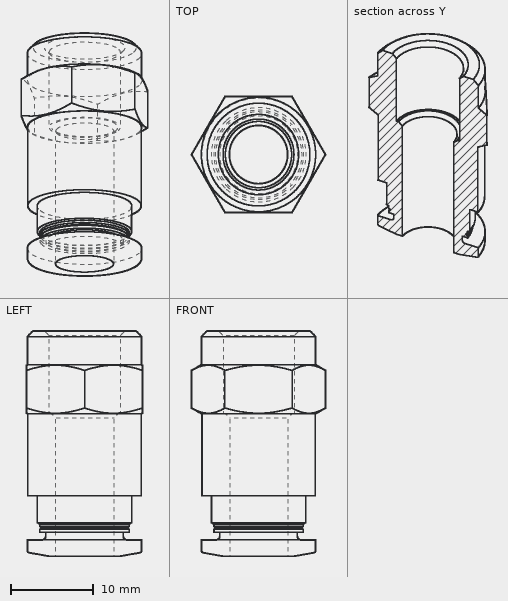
import cadquery as cq
import math

flange_top = 2.0
lower_ring_bottom = 2.9
lower_ring_top = 3.25
upper_ring_bottom = 3.6
upper_ring_top = 3.9
collar_bottom = 4.05
sleeve_bottom = 7.3
hex_bottom = 17.2
hex_top = 23.1
total_height = 27.2

flange_diameter = 13.8
flange_flat_diameter = 8.57
neck_diameter = 9.4
ring_diameter = 10.8
collar_diameter = 11.4
sleeve_diameter = 13.7
head_diameter = 13.8
hex_across_flats = 14.0

flange_cone_angle = 10.0
flange_edge_radius = 0.3
neck_fillet_radius = 0.4
ring_groove_depth = 0.2
head_chamfer = 0.7
hex_chamfer_angle = 30.0

through_diameter = 7.0
seat_diameter = 8.0
socket_diameter = 8.57
mouth_diameter = 9.7
socket_depth = total_height - hex_bottom


def revolve_about_z(sketch):
    """Revolve a closed outline of (radius, height) points around the Z axis."""
    return sketch.close().revolve(360, (0, 0, 0), (0, 1, 0))


def make_release_button():
    """Push button at the lower end: flange with a conical underside, neck and two rings."""
    flange_radius = flange_diameter / 2
    flat_radius = flange_flat_diameter / 2
    neck_radius = neck_diameter / 2
    ring_radius = ring_diameter / 2
    groove_radius = ring_radius - ring_groove_depth
    groove_height = (lower_ring_top + upper_ring_bottom) / 2

    angle = math.radians(flange_cone_angle)
    cone_height = (flange_radius - flat_radius) * math.tan(angle)
    edge_tangent = flange_edge_radius * math.tan((math.pi / 2 - angle) / 2)
    edge_start = (
        flange_radius - edge_tangent * math.cos(angle),
        cone_height - edge_tangent * math.sin(angle),
    )
    edge_end = (flange_radius, cone_height + edge_tangent)

    outline = (
        cq.Workplane("XZ")
        .moveTo(0, 0)
        .lineTo(flat_radius, 0)
        .lineTo(*edge_start)
        .radiusArc(edge_end, -flange_edge_radius)
        .lineTo(flange_radius, flange_top)
        .lineTo(neck_radius + neck_fillet_radius, flange_top)
        .radiusArc((neck_radius, flange_top + neck_fillet_radius), neck_fillet_radius)
        .lineTo(neck_radius, lower_ring_bottom)
        .lineTo(ring_radius, lower_ring_bottom)
        .lineTo(ring_radius, lower_ring_top)
        .lineTo(groove_radius, groove_height)
        .lineTo(ring_radius, upper_ring_bottom)
        .lineTo(ring_radius, upper_ring_top)
        .lineTo(collar_diameter / 2, collar_bottom)
        .lineTo(0, collar_bottom)
    )
    return revolve_about_z(outline)


def make_cylinder(diameter, bottom, top):
    return cq.Workplane("XY").workplane(offset=bottom).circle(diameter / 2).extrude(top - bottom)


def make_hex():
    """Hexagon with corners on the X axis, its ends trimmed by shallow cones."""
    corner_radius = hex_across_flats / math.sqrt(3)
    end_radius = head_diameter / 2
    chamfer_height = (corner_radius - end_radius) * math.tan(math.radians(hex_chamfer_angle))
    prism = (
        cq.Workplane("XY")
        .workplane(offset=hex_bottom)
        .polygon(6, 2 * corner_radius)
        .extrude(hex_top - hex_bottom)
    )
    envelope = revolve_about_z(
        cq.Workplane("XZ")
        .moveTo(0, hex_bottom)
        .lineTo(end_radius, hex_bottom)
        .lineTo(corner_radius, hex_bottom + chamfer_height)
        .lineTo(corner_radius, hex_top - chamfer_height)
        .lineTo(end_radius, hex_top)
        .lineTo(0, hex_top)
    )
    return prism.intersect(envelope)


def make_head():
    head = make_cylinder(head_diameter, hex_top, total_height)
    return head.faces(">Z").edges().chamfer(head_chamfer)


def make_bore():
    """Chamfered socket from the top, a flat seat, then a cone into the through hole."""
    through_radius = through_diameter / 2
    seat_radius = seat_diameter / 2
    socket_radius = socket_diameter / 2
    mouth_radius = mouth_diameter / 2
    seat_height = total_height - socket_depth
    cone_bottom = seat_height - (seat_radius - through_radius)
    mouth_bottom = total_height - (mouth_radius - socket_radius)
    return revolve_about_z(
        cq.Workplane("XZ")
        .moveTo(0, 0)
        .lineTo(through_radius, 0)
        .lineTo(through_radius, cone_bottom)
        .lineTo(seat_radius, seat_height)
        .lineTo(socket_radius, seat_height)
        .lineTo(socket_radius, mouth_bottom)
        .lineTo(mouth_radius, total_height)
        .lineTo(0, total_height)
    )


result = (
    make_release_button()
    .union(make_cylinder(collar_diameter, collar_bottom, sleeve_bottom))
    .union(make_cylinder(sleeve_diameter, sleeve_bottom, hex_bottom))
    .union(make_hex())
    .union(make_head())
    .cut(make_bore())
)